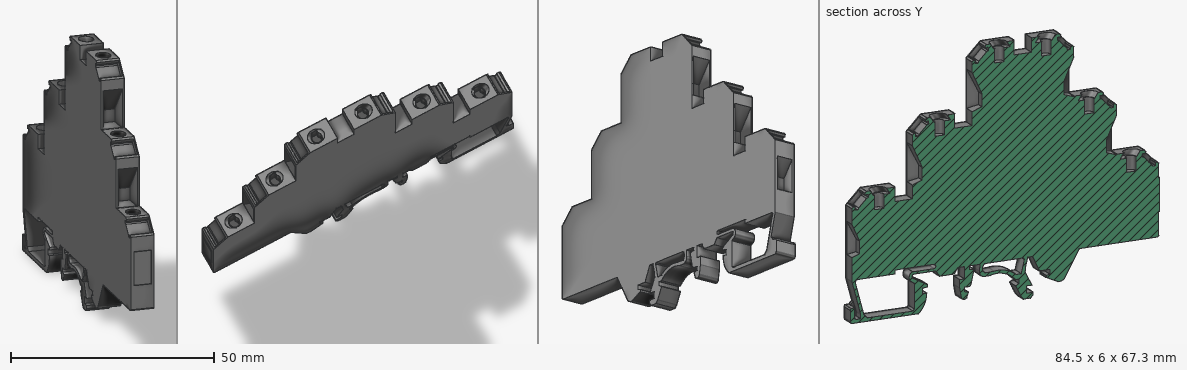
import cadquery as cq
import math

length = 84.5
thickness = 6.0
height = 67.3

right_inset = 0.25
tier_pitch = 16.65
left_faces = [0.4, 16.9, 33.2]
right_faces = [length - right_inset, 72.75, 61.1]
tier_tops = [height - tier_pitch * level for level in (2, 1, 0)]
corner_chamfer = 4.0
notch_width = 4.65
notch_depth = 3.7
top_notch_end = 49.4

floor_z = 10.65
right_floor_z = 10.9
foot_roof_z = 11.4
slit_roof_z = 12.4
slit_x = 12.25
neck_x = 23.7
foot_base_z = 0.25

leg_top_z = 11.15
leg_foot_z = 2.4
leg_lean = 0.27
web_top_z = 5.15

slot_mouth = 2.2
slot_waist = 1.9
slot_lug = 2.45
slot_lug_tip = 2.0
slot_floor = 1.5
slot_waist_depth = 0.5
slot_lug_depth = 1.0
slot_tip_depth = 1.5
slot_floor_depth = 1.35
slot_wall = 0.3

screw_inset = 7.3
recess_diameter = 3.6
recess_tilt = 35.0
recess_depth = 1.4
bore_diameter = 2.6
bore_shift = 0.25
bore_depth = 5.1
keyway_width = 1.7
keyway_reach = 1.7

funnel_depth = 2.7
funnel_mouth_width = 5.1
funnel_floor_width = 2.9
funnel_mouth_top = 6.7
funnel_mouth_bottom = 16.8
funnel_floor_top = 12.6
funnel_floor_bottom = 15.9
low_funnel_shift = 0.63

panel_width = 4.5
panel_top = 26.2
panel_bottom = 17.5
panel_root = 0.85


def plate(sketch):
    """Extrude a closed XZ sketch over the full thickness, centred on Y = 0."""
    return sketch.close().extrude(thickness / 2, both=True)


def polygon(points):
    """Open chain of straight lines through XZ points."""
    return cq.Workplane("XZ").polyline(points)


def body():
    """Stepped housing with the fixed rail hook and the stop block on its underside."""
    points = [(neck_x, foot_roof_z), (neck_x - 0.5, slit_roof_z), (slit_x, slit_roof_z)]
    points += [(slit_x, foot_roof_z), (left_faces[0], foot_roof_z)]
    inner_ends = left_faces[1:] + [top_notch_end]
    for face, top, inner in zip(left_faces, tier_tops, inner_ends):
        points += [
            (face, top - corner_chamfer),
            (face + corner_chamfer, top),
            (inner - notch_width, top),
            (inner - notch_width, top - notch_depth),
            (inner, top - notch_depth),
        ]
    points.append((inner_ends[-1], tier_tops[-1]))
    for level in (2, 1, 0):
        face = right_faces[level]
        top = tier_tops[level]
        points += [(face - corner_chamfer, top), (face, top - corner_chamfer)]
        if level > 0:
            points.append((face, tier_tops[level - 1]))
    corner = 0.3
    points += [
        (right_faces[0], right_floor_z + corner),
        (right_faces[0] - corner, right_floor_z),
        (62.6, right_floor_z),
    ]
    outline = (
        polygon(points)
        .lineTo(58.8, 4.3)
        .threePointArc((58.0, 3.4), (56.7, 3.2))
        .lineTo(53.5, 4.7)
        .lineTo(53.5, 5.3)
        .lineTo(54.4, 5.6)
        .lineTo(54.4, 6.7)
        .lineTo(51.6, 6.7)
        .lineTo(49.8, floor_z)
    )
    for point in [(29.3, floor_z), (28.5, 9.1), (24.4, 9.1), (23.3, floor_z)]:
        outline = outline.lineTo(*point)
    return plate(outline)


def leg_x(z):
    """X of the leg's outer side at a given level."""
    return left_faces[0] + leg_lean * (leg_top_z - z)


def foot():
    """Release foot: slanted leg, base bar, upright jaw and the arm back to the body."""
    outer = (
        cq.Workplane("XZ")
        .moveTo(left_faces[0], leg_top_z)
        .lineTo(leg_x(web_top_z), web_top_z)
        .lineTo(1.3, 4.3)
        .lineTo(0.2, 4.3)
        .lineTo(0, 3.8)
        .lineTo(0, foot_base_z + 0.7)
        .radiusArc((0.7, foot_base_z), -0.7)
        .lineTo(18.7, foot_base_z)
        .threePointArc((20.4, 2.5), (20.95, 5.3))
        .lineTo(19.85, 5.3)
        .lineTo(19.85, 6.7)
        .lineTo(21.1, 6.85)
        .lineTo(21.1, 7.5)
        .lineTo(17.15, 9.7)
        .threePointArc((17.0, 10.3), (17.5, floor_z))
        .lineTo(neck_x, floor_z)
        .lineTo(neck_x, slit_roof_z)
        .lineTo(left_faces[0], slit_roof_z)
    )
    opening = (
        cq.Workplane("XZ")
        .moveTo(1.9, foot_roof_z)
        .lineTo(slit_x, foot_roof_z)
        .lineTo(slit_x, slit_roof_z)
        .lineTo(22.8, slit_roof_z)
        .threePointArc((23.3, 11.9), (22.8, foot_roof_z))
        .lineTo(17.0, foot_roof_z)
        .threePointArc((16.05, 10.2), (16.65, 8.8))
        .lineTo(17.5, 8.3)
        .lineTo(17.5, 1.7)
        .lineTo(17.1, 1.3)
        .lineTo(4.7, 1.3)
        .lineTo(3.8, 2.2)
        .lineTo(1.5, 10.6)
        .lineTo(1.5, 11.1)
    )
    return plate(outer).cut(plate(opening))


def foot_pocket():
    """Tool pocket between the foot's end block and its leg, closed by a web on the +Y side."""
    web = 0.9
    points = [(1.3, 4.3), (1.3, 1.6), (1.6, 1.3), (2.8, 1.3)]
    points += [(leg_x(leg_foot_z), leg_foot_z), (leg_x(web_top_z), web_top_z)]
    pocket = polygon(points).close().extrude(thickness - web)
    return pocket.translate((0, thickness / 2 - web, 0))


def centre_latch():
    """Stiff hooked finger between the foot and the spring latch."""
    sketch = (
        polygon([(31.1, right_floor_z), (31.1, 7.6), (29.8, 7.6), (29.8, 5.4), (30.25, 3.0)])
        .threePointArc((31.2, 2.2), (31.85, 2.5))
        .lineTo(32.4, 4.0)
        .lineTo(31.3, 4.3)
        .lineTo(31.3, 5.3)
        .lineTo(32.4, 5.3)
        .threePointArc((32.9, 5.6), (33.1, 6.2))
        .lineTo(33.9, 9.6)
        .lineTo(32.6, 9.8)
        .lineTo(32.6, right_floor_z)
    )
    return plate(sketch)


def spring_latch():
    """Bowed spring hung between two roots, ending in a rail hook."""
    outer = (
        cq.Workplane("XZ")
        .moveTo(35.4, right_floor_z)
        .lineTo(35.2, 9.0)
        .threePointArc((35.7, 7.8), (36.8, 7.35))
        .lineTo(38.1, 7.35)
        .threePointArc((42.1, 7.35), (45.1, 5.3))
        .lineTo(46.05, 5.3)
        .lineTo(46.05, 4.3)
        .lineTo(45.1, 3.8)
        .lineTo(46.65, 0.8)
        .lineTo(47.3, 0)
        .lineTo(49.3, 0)
        .lineTo(49.9, 0.8)
        .lineTo(49.9, 1.5)
        .lineTo(48.2, 1.5)
        .lineTo(48.2, 3.3)
        .lineTo(49.7, 3.3)
        .lineTo(47.8, 7.0)
        .lineTo(48.0, 8.45)
        .lineTo(48.6, right_floor_z)
    )
    opening = (
        cq.Workplane("XZ")
        .moveTo(36.8, floor_z)
        .lineTo(47.3, floor_z)
        .lineTo(47.5, 10.3)
        .lineTo(46.65, 6.8)
        .lineTo(45.3, 6.8)
        .threePointArc((42.4, 8.3), (39.2, 8.45))
        .lineTo(36.8, 8.4)
        .threePointArc((36.2, 9.5), (36.8, floor_z))
    )
    return plate(outer).cut(plate(opening))


def label_slot(face, top, inward):
    """Undercut slot across a corner chamfer; inward is +1 on left corners and -1 on right ones."""
    half = [
        (slot_mouth, 0),
        (slot_waist, slot_waist_depth),
        (slot_lug, slot_lug_depth),
        (slot_lug_tip, slot_tip_depth),
        (slot_floor, slot_floor_depth),
    ]
    outline = half + [(-along, depth) for along, depth in reversed(half)]
    middle_x = face + inward * corner_chamfer / 2
    middle_z = top - corner_chamfer / 2
    diagonal = math.sqrt(0.5)
    points = [
        (middle_x + inward * (along + depth) * diagonal, middle_z + (along - depth) * diagonal)
        for along, depth in outline
    ]
    slot = polygon(points).close().extrude(thickness - slot_wall)
    return slot.translate((0, thickness / 2 - slot_wall, 0))


def screw_hole(face, top, inward):
    """Leaning recess with a level floor, and a straight keyed bore going on below it."""
    x = face + inward * screw_inset
    reach = 4 * recess_depth
    recess = (
        cq.Workplane("XY")
        .circle(recess_diameter / 2)
        .extrude(reach, both=True)
        .rotate((0, 0, 0), (0, 1, 0), -inward * recess_tilt)
    )
    layer = cq.Workplane("XY").box(length, thickness, recess_depth, centered=(True, True, False))
    recess = recess.intersect(layer.translate((0, 0, -recess_depth)))
    below = bore_depth - recess_depth
    bore_axis = cq.Workplane("XY", origin=(inward * bore_shift, 0, -recess_depth))
    bore = bore_axis.circle(bore_diameter / 2).extrude(-below)
    keyway = bore_axis.center(0, -keyway_reach / 2).rect(keyway_width, keyway_reach).extrude(-below)
    return recess.union(bore).union(keyway).translate((x, 0, top))


def funnel(mouth_x, top, inward):
    """Rectangular wire entry narrowing towards its floor."""
    mouth_middle = (funnel_mouth_top + funnel_mouth_bottom) / 2
    floor_middle = (funnel_floor_top + funnel_floor_bottom) / 2
    return (
        cq.Workplane("YZ", origin=(mouth_x, 0, top - mouth_middle))
        .rect(funnel_mouth_width, funnel_mouth_bottom - funnel_mouth_top)
        .workplane(offset=inward * funnel_depth)
        .center(0, mouth_middle - floor_middle)
        .rect(funnel_floor_width, funnel_floor_bottom - funnel_floor_top)
        .loft(ruled=True)
    )


def blank_panel():
    """Low raised panel standing in for a wire entry on the lowest right-hand face."""
    panel = cq.Workplane("XY").box(
        panel_root + right_inset, panel_width, panel_top - panel_bottom, centered=(False, True, False)
    )
    return panel.translate((right_faces[0] - panel_root, 0, panel_bottom))


result = body()
for piece in (foot(), centre_latch(), spring_latch(), blank_panel()):
    result = result.union(piece)

result = result.cut(foot_pocket())
for faces, inward in ((left_faces, 1), (right_faces, -1)):
    for face, top in zip(faces, tier_tops):
        result = result.cut(label_slot(face, top, inward))
        result = result.cut(screw_hole(face, top, inward))

for left, right, top in zip(left_faces[1:], right_faces[1:], tier_tops[1:]):
    result = result.cut(funnel(left, top, 1)).cut(funnel(right, top, -1))
result = result.cut(funnel(left_faces[0] - low_funnel_shift, tier_tops[0], 1))

result = result.clean()